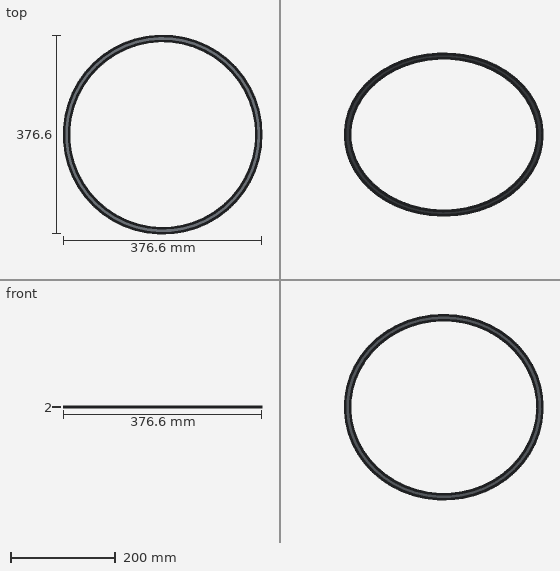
import cadquery as cq

outer_diameter = 376.6
band_width = 10.0
thickness = 2.0

inner_diameter = outer_diameter - 2 * band_width


def flat_ring():
    """Thin flat ring centred on the Z axis, resting on the XY plane."""
    return (
        cq.Workplane("XY")
        .circle(outer_diameter / 2)
        .circle(inner_diameter / 2)
        .extrude(thickness)
    )


result = flat_ring()